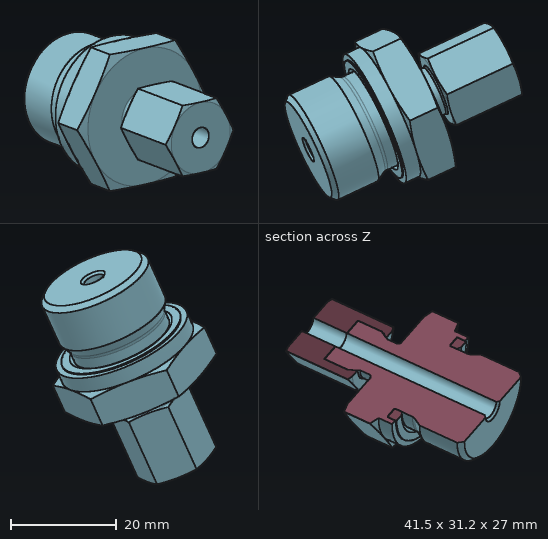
import cadquery as cq
import math


total_length = 41.5
bore_radius = 2.0
bore_chamfer = 0.5

stud_radius = 11.0
stud_chamfer = 1.0
stud_end = 9.4
neck_radius = 9.8
runout_angle = 30.0
runout_fillet = 1.25

hex_flats = 27.0
collar_radius = hex_flats / 2
collar_start = 14.0
hex_start = 17.0
hex_end = 24.03

seal_radius = 12.25
seal_protrusion = 0.25
seal_thickness = 2.0
seal_chamfer = 0.7
seal_chamfer_angle = 30.0
seal_start = collar_start - seal_protrusion
seal_end = seal_start + seal_thickness

undercut_radius = 4.85
undercut_fillet = 0.6
undercut_end = 26.65
spigot_radius = 6.0
spigot_angle = 30.0
spigot_end = 34.05

nut_flats = 14.03
nut_start = 27.0

hex_half_angle = 30.0
hex_chamfer_angle = 15.0


def slope(angle):
    """Rise per unit of run for an incline of this many degrees."""
    return math.tan(math.radians(angle))


def revolved(outline):
    """Solid of revolution about the X axis, from an outline of (x, radius) points."""
    return cq.Workplane("XY").polyline(outline).close().revolve(360, (0, 0, 0), (1, 0, 0))


def cylinder(start, end, radius):
    """Cylinder on the X axis."""
    return cq.Workplane("YZ", origin=(start, 0, 0)).circle(radius).extrude(end - start)


def chamfered_hexagon(start, end, flats):
    """Hexagonal prism with corners on +Y and -Y, both ends turned to a shallow cone."""
    flat_radius = flats / 2
    corner_radius = flat_radius / math.cos(math.radians(hex_half_angle))
    prism = (
        cq.Workplane("YZ", origin=(start, 0, 0))
        .polygon(6, 2 * corner_radius)
        .extrude(end - start)
    )
    setback = (corner_radius - flat_radius) * slope(hex_chamfer_angle)
    envelope = revolved([
        (start, 0),
        (start, flat_radius),
        (start + setback, corner_radius),
        (end - setback, corner_radius),
        (end, flat_radius),
        (end, 0),
    ])
    return prism.intersect(envelope)


def make_stud():
    """Stud, tapered run-out with its rounded foot, and neck, up to the collar."""
    runout_end = stud_end + (stud_radius - neck_radius) / slope(runout_angle)
    tangent = runout_fillet * slope(runout_angle / 2)
    tangent_x = runout_end - tangent * math.cos(math.radians(runout_angle))
    tangent_radius = neck_radius + tangent * math.sin(math.radians(runout_angle))
    return (
        cq.Workplane("XY")
        .moveTo(0, 0)
        .lineTo(0, stud_radius - stud_chamfer)
        .lineTo(stud_chamfer, stud_radius)
        .lineTo(stud_end, stud_radius)
        .lineTo(tangent_x, tangent_radius)
        .tangentArcPoint((runout_end + tangent, neck_radius), relative=False)
        .lineTo(collar_start, neck_radius)
        .lineTo(collar_start, 0)
        .close()
        .revolve(360, (0, 0, 0), (1, 0, 0))
    )


def make_spigot():
    """Undercut with a rounded root at the hexagon, then the threaded spigot."""
    spigot_start = undercut_end + (spigot_radius - undercut_radius) / slope(spigot_angle)
    return (
        cq.Workplane("XY")
        .moveTo(hex_end, 0)
        .lineTo(hex_end, undercut_radius + undercut_fillet)
        .radiusArc((hex_end + undercut_fillet, undercut_radius), -undercut_fillet)
        .lineTo(undercut_end, undercut_radius)
        .lineTo(spigot_start, spigot_radius)
        .lineTo(spigot_end, spigot_radius)
        .lineTo(spigot_end, 0)
        .close()
        .revolve(360, (0, 0, 0), (1, 0, 0))
    )


def make_bore():
    """Through bore with a chamfered mouth at the stud face."""
    return revolved([
        (0, 0),
        (0, bore_radius + bore_chamfer),
        (bore_chamfer, bore_radius),
        (total_length, bore_radius),
        (total_length, 0),
    ])


def make_seal():
    """Ring that fits closely on the neck, with a chamfered inner edge on its open face."""
    chamfer_depth = seal_chamfer * slope(seal_chamfer_angle)
    return revolved([
        (seal_start, neck_radius + seal_chamfer),
        (seal_start, seal_radius),
        (seal_end, seal_radius),
        (seal_end, neck_radius),
        (seal_start + chamfer_depth, neck_radius),
    ])


def make_body(bore):
    """Stud, grooved collar, hexagon and spigot in one piece."""
    seal_groove = cylinder(collar_start, seal_end, seal_radius).cut(
        cylinder(collar_start, seal_end, neck_radius)
    )
    collar = cylinder(collar_start, hex_start, collar_radius).cut(seal_groove)
    hexagon = chamfered_hexagon(hex_start, hex_end, hex_flats)
    return make_stud().union(collar).union(hexagon).union(make_spigot()).cut(bore)


def make_nut(bore):
    """Hexagonal nut with a recess that fits the spigot, and the bore through its end."""
    hexagon = chamfered_hexagon(nut_start, total_length, nut_flats)
    return hexagon.cut(make_spigot()).cut(bore)


through_bore = make_bore()
body = make_body(through_bore)
seal = make_seal()
nut = make_nut(through_bore)

result = cq.Compound.makeCompound([body.solids().val(), seal.solids().val(), nut.solids().val()])